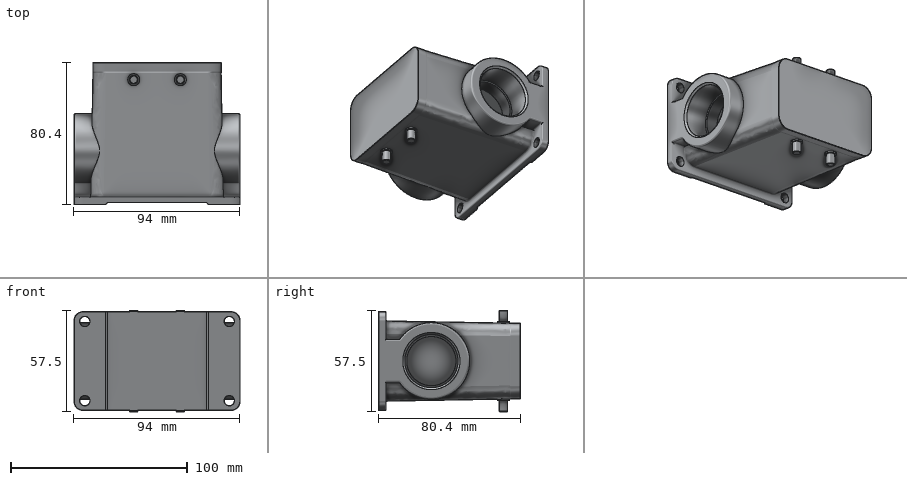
import cadquery as cq
import math

FLANGE_LENGTH = 94.0
FLANGE_HEIGHT = 55.9
FLANGE_THICKNESS = 4.2
FLANGE_CORNER_RADIUS = 5.2
FLANGE_EDGE_RADIUS = 0.7
HOLE_DIAMETER = 5.7
HOLE_SPACING_X = 81.8
HOLE_SPACING_Z = 44.7
RECESS_WIDTH = 58.1
RECESS_DEPTH = 1.0

BODY_LENGTH = 75.1
BODY_HEIGHT = 45.5
BODY_CORNER_RADIUS = 7.5
BODY_BASE_RADIUS = 0.7
DRAFT_ANGLE = 1.0

TOTAL_DEPTH = 80.4
COLLAR_LENGTH = 72.8
COLLAR_HEIGHT = 42.9
COLLAR_CORNER_RADIUS = 7.05
COLLAR_DEPTH = 5.3
COLLAR_BEVEL = 0.7
RIM_CHAMFER = 0.2

HUB_RADIUS = 21.7
HUB_CENTRE_Y = 29.9
HUB_EDGE_RADIUS = 1.1
NECK_HEIGHT = 24.6
NECK_CORNER_RADIUS = 0.7
BORE_DIAMETER = 30.2
BORE_DEPTH = 15.7
BORE_CHAMFER = 1.1
INNER_BORE_DIAMETER = 27.8
INNER_BORE_DEPTH = 23.5

PIN_DIAMETER = 4.9
PIN_SPACING = 26.4
PIN_CENTRE_Y = 70.7
PIN_SPAN = 57.5
PIN_TIP_CHAMFER = 0.4
PIN_COLLAR_DIAMETER = 6.8
PIN_COLLAR_SPAN = 44.8

COLLAR_START = TOTAL_DEPTH - COLLAR_DEPTH
BODY_END = COLLAR_START - COLLAR_BEVEL
HUB_FACE_X = FLANGE_LENGTH / 2

TOLERANCE = 0.01


def rounded_outline(length, height, radius):
    """Rounded rectangle centred on the origin of the XY plane."""
    return cq.Sketch().rect(length, height).vertices().fillet(radius)


def plane_at_depth(depth):
    """Plane parallel to XZ whose normal points along +Y."""
    return cq.Workplane(cq.Plane((0, depth, 0), (1, 0, 0), (0, 1, 0)))


def make_flange():
    flange = plane_at_depth(0).placeSketch(
        rounded_outline(FLANGE_LENGTH, FLANGE_HEIGHT, FLANGE_CORNER_RADIUS)
    ).extrude(FLANGE_THICKNESS)
    return flange.faces(">Y").edges().fillet(FLANGE_EDGE_RADIUS)


def make_body():
    """Body that narrows by the draft angle, with the collar behind it."""
    body_depth = BODY_END - FLANGE_THICKNESS
    shrink = 2 * body_depth * math.tan(math.radians(DRAFT_ANGLE))
    base = rounded_outline(BODY_LENGTH, BODY_HEIGHT, BODY_CORNER_RADIUS)
    end = rounded_outline(BODY_LENGTH - shrink, BODY_HEIGHT - shrink, BODY_CORNER_RADIUS)
    collar = rounded_outline(COLLAR_LENGTH, COLLAR_HEIGHT, COLLAR_CORNER_RADIUS)

    def at(depth):
        return cq.Location(cq.Vector(0, 0, depth))

    origin = plane_at_depth(0)
    drafted = origin.placeSketch(base.moved(at(FLANGE_THICKNESS)), end.moved(at(BODY_END))).loft(ruled=True)
    bevel = origin.placeSketch(end.moved(at(BODY_END)), collar.moved(at(COLLAR_START))).loft(ruled=True)
    straight = plane_at_depth(COLLAR_START).placeSketch(collar).extrude(COLLAR_DEPTH)
    straight = straight.faces(">Y").edges().chamfer(RIM_CHAMFER)
    return drafted.union(bevel).union(straight)


def make_hubs():
    """Both hubs as one bar through the body, with a neck and foot running into the flange."""
    side = cq.Workplane("YZ", origin=(-HUB_FACE_X, 0, 0))
    hub = side.center(HUB_CENTRE_Y, 0).circle(HUB_RADIUS).extrude(FLANGE_LENGTH)
    neck = side.center(HUB_CENTRE_Y / 2, 0).rect(HUB_CENTRE_Y, NECK_HEIGHT).extrude(FLANGE_LENGTH)
    foot_height = NECK_HEIGHT + 4 * NECK_CORNER_RADIUS
    foot = side.center(FLANGE_THICKNESS / 2, 0).rect(FLANGE_THICKNESS, foot_height).extrude(FLANGE_LENGTH)
    bar = hub.union(neck).union(foot)

    def is_inner_corner(edge):
        return edge.geomType() == "LINE" and math.isclose(abs(edge.Center().z), NECK_HEIGHT / 2)

    bar = bar.newObject(bar.edges("|X").filter(is_inner_corner).vals()).fillet(NECK_CORNER_RADIUS)
    end_edges = bar.faces("<X or >X").edges()
    rims = end_edges.filter(lambda edge: edge.Center().y > FLANGE_THICKNESS + TOLERANCE)
    return bar.newObject(rims.vals()).fillet(HUB_EDGE_RADIUS)


def make_bore(direction):
    """Stepped, blind cable bore; direction is -1 or +1 along X."""
    half_section = [
        (0, 0),
        (0, BORE_DIAMETER / 2 + BORE_CHAMFER),
        (BORE_CHAMFER, BORE_DIAMETER / 2),
        (BORE_DEPTH, BORE_DIAMETER / 2),
        (BORE_DEPTH, INNER_BORE_DIAMETER / 2),
        (INNER_BORE_DEPTH, INNER_BORE_DIAMETER / 2),
        (INNER_BORE_DEPTH, 0),
    ]
    points = [(direction * (HUB_FACE_X - depth), radius) for depth, radius in half_section]
    bore = cq.Workplane("XY").polyline(points).close().revolve(360, (0, 0), (1, 0))
    return bore.translate((0, HUB_CENTRE_Y, 0))


def make_pins():
    """Pins as rods through the body, each with a low round shoulder."""
    positions = [(-PIN_SPACING / 2, PIN_CENTRE_Y), (PIN_SPACING / 2, PIN_CENTRE_Y)]
    middle = cq.Workplane("XY").pushPoints(positions)
    rods = middle.circle(PIN_DIAMETER / 2).extrude(PIN_SPAN / 2, both=True)
    rods = rods.faces("<Z or >Z").edges().chamfer(PIN_TIP_CHAMFER)
    shoulders = middle.circle(PIN_COLLAR_DIAMETER / 2).extrude(PIN_COLLAR_SPAN / 2, both=True)
    return rods.union(shoulders)


def make_recess():
    """Shallow channel across the front face with 45-degree sides."""
    half_width = RECESS_WIDTH / 2
    floor_half_width = half_width - RECESS_DEPTH
    return (
        cq.Workplane("XY")
        .polyline([
            (-half_width, 0),
            (half_width, 0),
            (floor_half_width, RECESS_DEPTH),
            (-floor_half_width, RECESS_DEPTH),
        ])
        .close()
        .extrude(FLANGE_HEIGHT, both=True)
    )


def make_screw_holes():
    return (
        plane_at_depth(0)
        .rect(HOLE_SPACING_X, HOLE_SPACING_Z, forConstruction=True)
        .vertices()
        .circle(HOLE_DIAMETER / 2)
        .extrude(FLANGE_THICKNESS)
    )


flange_and_body = make_flange().union(make_body())
base_seam = cq.selectors.BoxSelector(
    (-BODY_LENGTH / 2 - TOLERANCE, FLANGE_THICKNESS - TOLERANCE, -BODY_HEIGHT / 2 - TOLERANCE),
    (BODY_LENGTH / 2 + TOLERANCE, FLANGE_THICKNESS + TOLERANCE, BODY_HEIGHT / 2 + TOLERANCE),
)
housing = flange_and_body.edges(base_seam).fillet(BODY_BASE_RADIUS)

housing = housing.union(make_hubs()).union(make_pins())
housing = housing.cut(make_recess()).cut(make_screw_holes())
for direction in (-1, 1):
    housing = housing.cut(make_bore(direction))

result = housing